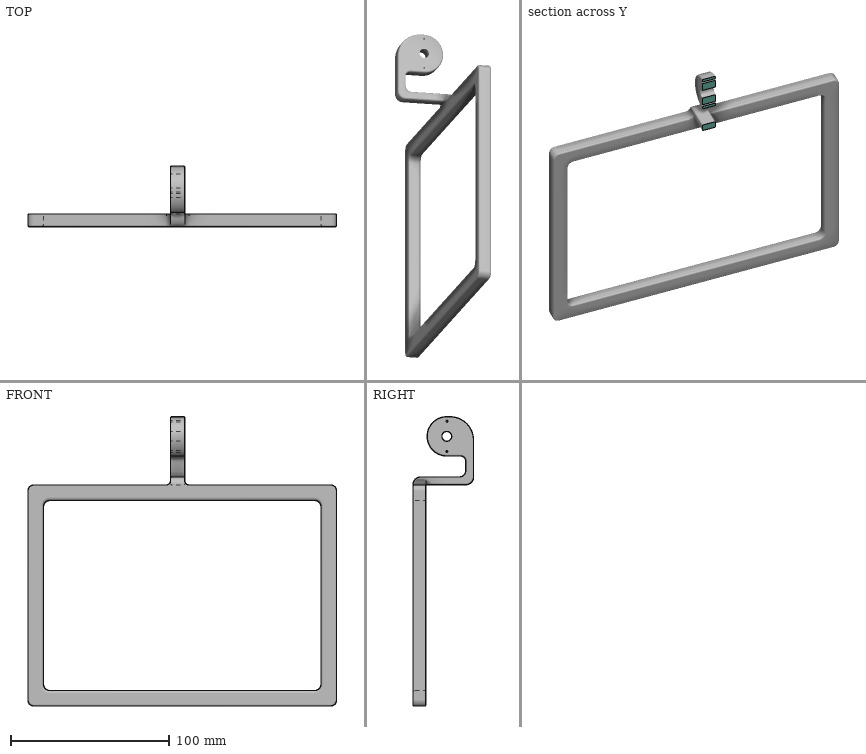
import cadquery as cq
total_height = 183.0
total_depth = 38.5

edge_radius = 1.0

frame_width = 195.0
frame_height = 139.8
frame_depth = 8.2
frame_bar = 10.0
frame_corner_radius = 3.9
opening_corner_radius = 3.9
opening_edge_radius = 2.0

hook_width = 9.2
hook_center_x = -3.0
strip_thickness = 5.0
front_bend_radius = 5.0
heel_radius = 4.9
lower_throat_radius = 3.9
upper_throat_radius = 3.1
crown_radius = 15.0
root_flare_radius = 2.5

eye_radius = 12.5
eye_center_from_back = 17.0
eye_hole_diameter = 6.0
pin_hole_diameter = 1.0
pin_hole_offset = 9.5

frame_top = frame_height / 2
hook_back = total_depth
strip_top = frame_top + strip_thickness
hook_top = total_height - frame_height / 2
eye_y = hook_back - eye_center_from_back
eye_z = hook_top - eye_radius
eye_bottom = eye_z - eye_radius
throat_y = hook_back - strip_thickness
hook_left = hook_center_x - hook_width / 2
hook_right = hook_center_x + hook_width / 2


def rounded_block(width, height, corner_radius):
    """Block of frame depth with rounded corners, from Y = 0 backwards."""
    block = cq.Workplane("XZ").rect(width, height).extrude(-frame_depth)
    return block.edges("|Y").fillet(corner_radius)


def make_frame():
    """Frame with its rear and opening edges rounded; the front outer edge stays sharp."""
    outer = rounded_block(frame_width, frame_height, frame_corner_radius)
    outer = outer.faces(">Y").edges().fillet(edge_radius)
    opening = rounded_block(
        frame_width - 2 * frame_bar, frame_height - 2 * frame_bar, opening_corner_radius
    )
    frame = outer.cut(opening)
    opening_edges = cq.selectors.BoxSelector(
        (-frame_width / 2 + frame_bar / 2, -frame_depth, -frame_height / 2 + frame_bar / 2),
        (frame_width / 2 - frame_bar / 2, 2 * frame_depth, frame_height / 2 - frame_bar / 2),
    )
    frame = frame.edges(">Y").edges(opening_edges).fillet(edge_radius)
    return frame.edges("<Y").edges(opening_edges).fillet(opening_edge_radius)


def hook_profile(start_x, width):
    """Side outline of the hook in the YZ plane, extruded along X from start_x."""
    body = (
        cq.Workplane("YZ", origin=(start_x, 0, 0))
        .moveTo(0, frame_top)
        .radiusArc((front_bend_radius, strip_top), front_bend_radius)
        .lineTo(throat_y - lower_throat_radius, strip_top)
        .radiusArc((throat_y, strip_top + lower_throat_radius), -lower_throat_radius)
        .lineTo(throat_y, eye_bottom - upper_throat_radius)
        .radiusArc((throat_y - upper_throat_radius, eye_bottom), -upper_throat_radius)
        .lineTo(eye_y, eye_bottom)
        .threePointArc((eye_y - eye_radius, eye_z), (eye_y, hook_top))
        .lineTo(hook_back - crown_radius, hook_top)
        .radiusArc((hook_back, hook_top - crown_radius), crown_radius)
        .lineTo(hook_back, frame_top + heel_radius)
        .radiusArc((hook_back - heel_radius, frame_top), heel_radius)
        .close()
    )
    return body.extrude(width)


def make_hook_root():
    """Concave flares on both hook sides, cut to the front bend, on a foot sunk into the frame top."""
    r = root_flare_radius
    flare_left = hook_left - r
    flare_right = hook_right + r
    foot_bottom = frame_top - edge_radius
    flare = (
        cq.Workplane("XZ")
        .moveTo(flare_left, frame_top)
        .radiusArc((hook_left, frame_top + r), -r)
        .lineTo(hook_right, frame_top + r)
        .radiusArc((flare_right, frame_top), -r)
        .close()
        .extrude(-frame_depth)
    )
    bend = hook_profile(flare_left, flare_right - flare_left)
    foot = (
        cq.Workplane("XZ")
        .moveTo(hook_center_x, (foot_bottom + frame_top) / 2)
        .rect(flare_right - flare_left, frame_top - foot_bottom)
        .extrude(-frame_depth)
    )
    return flare.intersect(bend).union(foot)


def cross_hole(z, diameter):
    """Cutter along X through the eye at height z."""
    hole = cq.Workplane("YZ", origin=(hook_left, eye_y, z)).circle(diameter / 2)
    return hole.extrude(hook_width)


def round_outer_edges(body):
    """Round the hook side edges and, with them, the front outer edge of the frame.

    These edges run tangentially into each other through the root flares, so the rounding
    that starts on the two underside edges of the hook follows the whole chain.
    """
    reach = 0.2
    underside = cq.selectors.BoxSelector(
        (hook_left - reach, frame_depth + reach, frame_top - reach),
        (hook_right + reach, hook_back - heel_radius, frame_top + reach),
    )
    return body.edges(underside).edges("|Y").fillet(edge_radius)


body = make_frame().union(hook_profile(hook_left, hook_width)).union(make_hook_root())
result = round_outer_edges(body)
result = result.cut(cross_hole(eye_z, eye_hole_diameter))
for offset in (-pin_hole_offset, pin_hole_offset):
    result = result.cut(cross_hole(eye_z + offset, pin_hole_diameter))